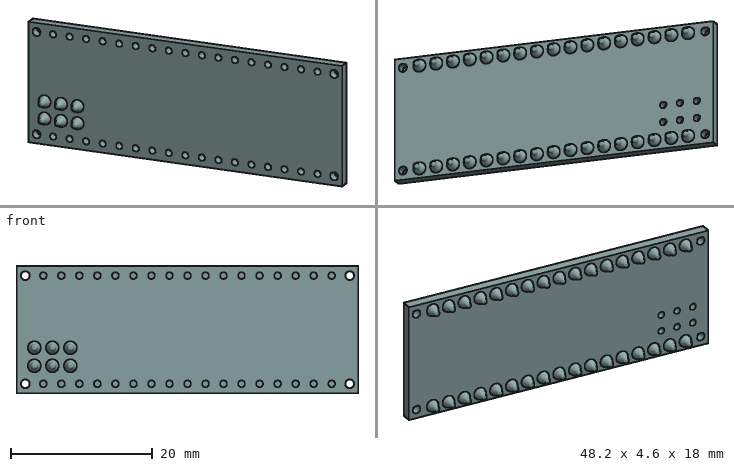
import cadquery as cq

board_length = 48.2
board_height = 18.0
board_thickness = 1.6

corner_hole_span = 45.75
pitch_count = 18
pitch = corner_hole_span / pitch_count
row_spacing = 6 * pitch
corner_hole_diameter = 1.2
joint_hole_diameter = 0.95

joint_height = 1.5
foot_radius = 0.9
pin_radius = 0.45
rim_rounding = 0.25

neck_height = joint_height - rim_rounding
shoulder_height = neck_height / 2
shoulder_radius = (foot_radius + pin_radius) / 2
arc_inset = foot_radius - shoulder_radius
flank_arc_radius = (shoulder_height**2 + arc_inset**2) / (2 * arc_inset)

header_columns = 3
header_rows = 2

left_hole_x = -corner_hole_span / 2
row_heights = [-row_spacing / 2, row_spacing / 2]

corner_points = [(x, z) for x in (left_hole_x, -left_hole_x) for z in row_heights]
edge_points = [(left_hole_x + i * pitch, z) for i in range(1, pitch_count) for z in row_heights]
header_points = [
    (left_hole_x + (column + 0.5) * pitch, row_heights[0] + (row + 1) * pitch)
    for column in range(header_columns)
    for row in range(header_rows)
]


def through_holes(points, diameter):
    """Cylinders along Y that span the board thickness."""
    return cq.Workplane("XZ").pushPoints(points).circle(diameter / 2).extrude(-board_thickness)


def make_joint():
    """Solder joint standing on Y = 0 and pointing to +Y."""
    return (
        cq.Workplane("XY")
        .lineTo(foot_radius, 0)
        .radiusArc((shoulder_radius, shoulder_height), -flank_arc_radius)
        .radiusArc((pin_radius, neck_height), flank_arc_radius)
        .radiusArc((pin_radius - rim_rounding, joint_height), -rim_rounding)
        .lineTo(0, joint_height)
        .close()
        .revolve(360, (0, 0, 0), (0, 1, 0))
    )


result = cq.Workplane("XY").box(board_length, board_thickness, board_height, centered=(True, False, True))
result = result.cut(through_holes(corner_points, corner_hole_diameter))
result = result.cut(through_holes(edge_points + header_points, joint_hole_diameter))

back_joint = make_joint()
front_joint = back_joint.mirror("XZ")
joints = [back_joint.val().translate(cq.Vector(x, board_thickness, z)) for x, z in edge_points]
joints += [front_joint.val().translate(cq.Vector(x, 0, z)) for x, z in header_points]
result = cq.Workplane(result.val().fuse(*joints))